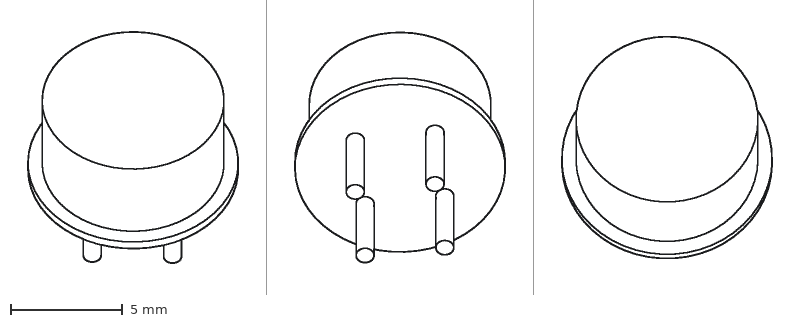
import cadquery as cq

total_height = 8.51
flange_diameter = 9.4
flange_thickness = 0.46

can_diameter = 8.13
can_height = 4.23

lead_count = 4
lead_diameter = 0.81
lead_circle_radius = 2.54
lead_length = total_height - can_height - flange_thickness


def make_flange():
    """Round base plate with its underside at Z = 0."""
    return cq.Workplane("XY").circle(flange_diameter / 2).extrude(flange_thickness)


def make_can():
    """Plain cylinder resting on top of the flange."""
    return cq.Workplane("XY", origin=(0, 0, flange_thickness)).circle(can_diameter / 2).extrude(can_height)


def make_lead(angle):
    """Straight round lead below the flange, at the given angle about Z."""
    lead = (
        cq.Workplane("XY")
        .center(lead_circle_radius, 0)
        .circle(lead_diameter / 2)
        .extrude(-lead_length)
    )
    return lead.rotate((0, 0, 0), (0, 0, 1), angle)


flange = make_flange()
can = make_can()
leads = [make_lead(i * 360 / lead_count) for i in range(lead_count)]

result = cq.Compound.makeCompound([flange.val(), can.val(), *[lead.val() for lead in leads]])